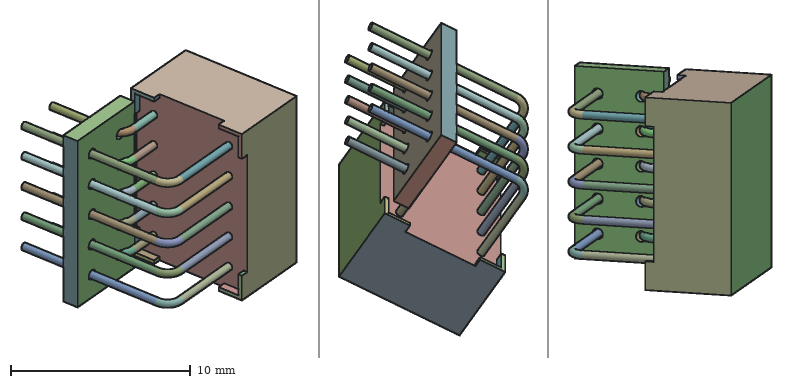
import cadquery as cq
import math

height = 11.0

housing_width = 7.81
housing_depth = 5.0
foot_length = 1.64
foot_height = 0.5
foot_wall = 0.25

plate_thickness = 1.0
plate_width = 5.2
plate_gap = 0.96
guide_hole_diameter = 0.62

pin_diameter = 0.48
pin_tip_reach = 3.8
pin_bend_radius = 0.87
pins_per_row = 5
pin_pitch = 2.0
near_row_x = 1.24
far_row_x = 6.51
near_row_drop = 1.32
row_spacing = 2.55

near_row_y = -plate_gap - near_row_drop
far_row_y = near_row_y - row_spacing
pin_rows = [(near_row_x, near_row_y), (far_row_x, far_row_y)]
pin_levels = [(i - (pins_per_row - 1) / 2) * pin_pitch for i in range(pins_per_row)]


def make_housing_block():
    """Solid block with an L-shaped foot at each corner of its open face."""
    block = cq.Workplane("XY").box(
        housing_width, housing_depth - foot_height, height, centered=(False, False, True)
    ).translate((0, foot_height, 0))
    for x_corner, x_inward in ((0, 1), (housing_width, -1)):
        for z_side in (1, -1):
            block = block.union(make_foot(x_corner, x_inward, z_side))
    return block


def make_foot(x_corner, x_inward, z_side):
    """L-shaped foot whose two walls follow the outer faces of the housing."""
    x_end = x_corner + x_inward * foot_length
    x_wall = x_corner + x_inward * foot_wall
    z_corner = z_side * height / 2
    z_end = z_corner - z_side * foot_length
    z_wall = z_corner - z_side * foot_wall
    outline = [
        (x_corner, z_corner),
        (x_end, z_corner),
        (x_end, z_wall),
        (x_wall, z_wall),
        (x_wall, z_end),
        (x_corner, z_end),
    ]
    return cq.Workplane("XZ").polyline(outline).close().extrude(-foot_height)


def make_pin(row_x, row_y, level):
    """Round pin from the housing floor, round a right-angle bend, to its tip beyond the plate."""
    bend_x = row_x - pin_bend_radius
    bend_y = row_y + pin_bend_radius
    bend_middle = (
        bend_x + pin_bend_radius * math.cos(math.radians(45)),
        bend_y - pin_bend_radius * math.sin(math.radians(45)),
    )
    path = (
        cq.Workplane("XY", origin=(0, 0, level))
        .moveTo(row_x, foot_height)
        .lineTo(row_x, bend_y)
        .threePointArc(bend_middle, (bend_x, row_y))
        .lineTo(-pin_tip_reach, row_y)
    )
    return cq.Workplane("XZ", origin=(row_x, foot_height, level)).circle(pin_diameter / 2).sweep(path)


def make_connector():
    """Housing with its pins, one solid."""
    connector = make_housing_block()
    for row_x, row_y in pin_rows:
        for level in pin_levels:
            connector = connector.union(make_pin(row_x, row_y, level))
    return connector


def make_guide_hole(row_y, level):
    """Straight hole through the full plate thickness."""
    return (
        cq.Workplane("YZ")
        .center(row_y, level)
        .circle(guide_hole_diameter / 2)
        .extrude(plate_thickness)
    )


def make_guide_plate():
    """Plate with a clearance hole round every pin."""
    plate = cq.Workplane("XY").box(
        plate_thickness, plate_width, height, centered=(False, False, True)
    ).translate((0, -plate_gap - plate_width, 0))
    for row_x, row_y in pin_rows:
        for level in pin_levels:
            plate = plate.cut(make_guide_hole(row_y, level))
    for level in pin_levels:
        plate = plate.cut(make_pin(near_row_x, near_row_y, level))
    return plate


connector = make_connector()
guide_plate = make_guide_plate()

result = cq.Compound.makeCompound([connector.solids().val(), guide_plate.solids().val()])